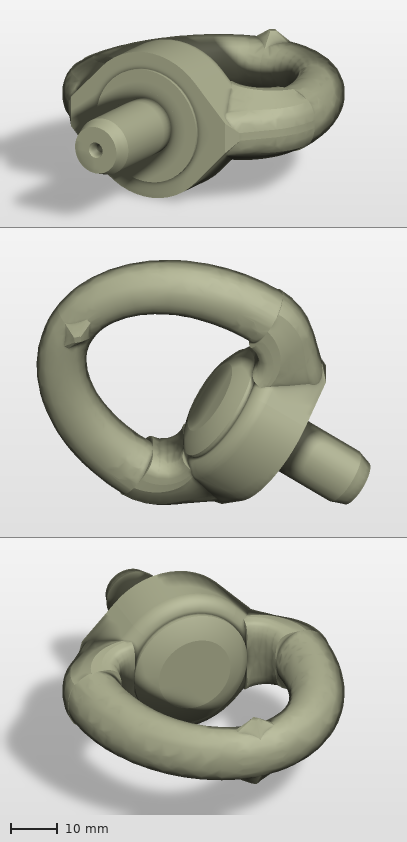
import cadquery as cq
import math


HUB_RADIUS = 32.4 / 2
HUB_HEIGHT = 13.5
HUB_EDGE_RADIUS = 3.1
HUB_TANGENT_X = 11.7
HUB_TANGENT_Z = math.sqrt(HUB_RADIUS**2 - HUB_TANGENT_X**2)
HUB_HALF_WIDTH = 19.3
HUB_TIP_Z = (HUB_RADIUS**2 - HUB_TANGENT_X * HUB_HALF_WIDTH) / HUB_TANGENT_Z

RING_HALF_WIDTH = 30.1
CROWN_Y = 56.7
CROWN_WIDTH = 10.3
CROWN_HALF_THICKNESS = 5.8
BOW_HALF_THICKNESS = 7.0
BOW_SECTIONS = 7

BEND_X = 12.9
BEND_Y = 19.1
BEND_INNER_RADIUS = 4.9
BEND_OUTER_RADIUS = RING_HALF_WIDTH - BEND_X
STRAIGHT_ANGLE = 41.0
LEG_ANGLES = range(0, 91, 10)
LEG_FLARE = 1.65
RIM_HALF_WIDTH = 0.9
SHOULDER_Z = 4.9
SHOULDER_INSET = 1.5
SHOULDER_INSET_GROWTH = 3.3
CREST_START = 4.3
CREST_LENGTH = 2.7
CREST_SHIFT = 2.0
CREST_SHORTENING = 2.3

FOOT_HEIGHT = 2.5
FOOT_RUN = 2.1
FOOT_DEPTH = 3.1

MARK_TIP_Z = 7.85
MARK_TIP_SIZE = 0.95
MARK_BASE_Z = 3.9
MARK_HALF_LENGTH = 7.05
MARK_HALF_WIDTH = 3.7
MARK_SIDE_FACET = 0.13

HEAD_RADIUS = 26.0 / 2
HEAD_RIM_HEIGHT = 1.1
HEAD_DOME_HEIGHT = 2.2
HEAD_TOP_RADIUS = 8.2
DOME_BULGE = 0.3
SHANK_RADIUS = 15.6 / 2
STUD_RADIUS = 12.5 / 2
STUD_TIP_RADIUS = 10.35 / 2
STUD_TAPER_LENGTH = 3.2
TOTAL_LENGTH = 78.4
STUD_END_Y = CROWN_Y - TOTAL_LENGTH
CENTRE_MOUTH_RADIUS = 1.7
CENTRE_BORE_RADIUS = 1.6 / 2
CENTRE_CONE_DEPTH = 1.65
CENTRE_DEPTH = 3.9

WASHER_RADIUS = 25.0 / 2
WASHER_THICKNESS = 0.8


def cylinder(radius, bottom_y, top_y):
    """Round bar on the bolt axis."""
    start = cq.Vector(0, bottom_y, 0)
    return cq.Workplane(cq.Solid.makeCylinder(radius, top_y - bottom_y, start, cq.Vector(0, 1, 0)))


def loft(wires, ruled=False):
    return cq.Workplane(cq.Solid.makeLoft(wires, ruled))


def make_hub():
    """Cylinder with flats on both sides that leave it tangentially and end at flat tips."""
    wings = (
        cq.Workplane("XZ")
        .polyline([
            (HUB_TANGENT_X, HUB_TANGENT_Z),
            (HUB_HALF_WIDTH, HUB_TIP_Z),
            (HUB_HALF_WIDTH, -HUB_TIP_Z),
            (HUB_TANGENT_X, -HUB_TANGENT_Z),
            (-HUB_TANGENT_X, -HUB_TANGENT_Z),
            (-HUB_HALF_WIDTH, -HUB_TIP_Z),
            (-HUB_HALF_WIDTH, HUB_TIP_Z),
            (-HUB_TANGENT_X, HUB_TANGENT_Z),
        ])
        .close()
        .extrude(-HUB_HEIGHT)
    )
    hub = cylinder(HUB_RADIUS, 0, HUB_HEIGHT).union(wings)
    return hub.faces(">Y").edges().fillet(HUB_EDGE_RADIUS)


def bow_section(angle):
    """Elliptical section of the bow; its ends lie on an outer and an inner quarter ellipse."""
    cosine = math.cos(angle)
    sine = math.sin(angle)
    inner_half_width = BEND_X + BEND_INNER_RADIUS
    inner_height = CROWN_Y - CROWN_WIDTH - BEND_Y
    outer = cq.Vector(RING_HALF_WIDTH * cosine, BEND_Y + (CROWN_Y - BEND_Y) * sine, 0)
    inner = cq.Vector(inner_half_width * cosine, BEND_Y + inner_height * sine, 0)
    across = outer - inner
    half_thickness = BOW_HALF_THICKNESS + (CROWN_HALF_THICKNESS - BOW_HALF_THICKNESS) * sine
    plane = cq.Plane(
        origin=((outer + inner) * 0.5).toTuple(),
        xDir=across.toTuple(),
        normal=across.cross(cq.Vector(0, 0, 1)).toTuple(),
    )
    return cq.Workplane(plane).ellipse(across.Length / 2, half_thickness).wire().val()


def make_half_bow():
    quarter_turn = math.pi / 2
    return loft([bow_section(quarter_turn * i / (BOW_SECTIONS - 1)) for i in range(BOW_SECTIONS)])


def leg_section(angle):
    """Section of a leg: round inside, flat crest, sloping flanks, rounded outside with a flat rim."""
    turn = math.radians(angle)
    straight_turn = math.radians(max(0, angle - STRAIGHT_ANGLE))
    growth = angle / 90
    inner = BEND_INNER_RADIUS
    outer = BEND_OUTER_RADIUS / math.cos(straight_turn)
    crest_z = BOW_HALF_THICKNESS + LEG_FLARE * growth
    crest_start = inner + CREST_START - CREST_SHIFT * growth
    crest_end = crest_start + CREST_LENGTH - CREST_SHORTENING * growth
    shoulder = outer - SHOULDER_INSET - SHOULDER_INSET_GROWTH * growth**2
    inset = outer - shoulder
    rise = SHOULDER_Z - RIM_HALF_WIDTH
    rounding_radius = (inset**2 + rise**2) / (2 * inset)
    half_sweep = math.atan2(inset, rise)
    rounding_r = outer - rounding_radius * (1 - math.cos(half_sweep))
    rounding_z = RIM_HALF_WIDTH + rounding_radius * math.sin(half_sweep)
    plane = cq.Plane(
        origin=(BEND_X, BEND_Y, 0),
        xDir=(math.cos(turn), -math.sin(turn), 0),
        normal=(-math.sin(turn), -math.cos(turn), 0),
    )
    return (
        cq.Workplane(plane)
        .moveTo(outer, -RIM_HALF_WIDTH)
        .lineTo(outer, RIM_HALF_WIDTH)
        .threePointArc((rounding_r, rounding_z), (shoulder, SHOULDER_Z))
        .lineTo(crest_end, crest_z)
        .lineTo(crest_start, crest_z)
        .spline(
            [(inner, 0), (crest_start, -crest_z)],
            tangents=[(-1, 0), (0, -1), (1, 0)],
            includeCurrent=True,
        )
        .lineTo(crest_end, -crest_z)
        .lineTo(shoulder, -SHOULDER_Z)
        .threePointArc((rounding_r, -rounding_z), (outer, -RIM_HALF_WIDTH))
        .wire()
        .val()
    )


def make_leg():
    leg = loft([leg_section(angle) for angle in LEG_ANGLES])
    below_hub = cylinder(RING_HALF_WIDTH, -HUB_HEIGHT, 0)
    return leg.cut(below_hub)


def make_foot():
    """Wedge under the outer end of a leg, narrowing outward from the hub tip to the rim."""
    inner_x = HUB_HALF_WIDTH - FOOT_DEPTH
    outer_x = HUB_HALF_WIDTH + FOOT_RUN
    side = (
        cq.Workplane("XY")
        .polyline([(inner_x, 0), (HUB_HALF_WIDTH, 0), (outer_x, FOOT_HEIGHT), (inner_x, FOOT_HEIGHT)])
        .close()
        .extrude(HUB_TIP_Z, both=True)
    )
    plan = (
        cq.Workplane("XZ")
        .polyline([
            (inner_x, HUB_TIP_Z),
            (HUB_HALF_WIDTH, HUB_TIP_Z),
            (outer_x, RIM_HALF_WIDTH),
            (outer_x, -RIM_HALF_WIDTH),
            (HUB_HALF_WIDTH, -HUB_TIP_Z),
            (inner_x, -HUB_TIP_Z),
        ])
        .close()
        .extrude(-FOOT_HEIGHT)
    )
    return side.intersect(plan)


def make_mark():
    """Pyramid with a blunt tip that stands on one face of the crown."""
    def diamond(half_length, half_width, z):
        facet = half_length * MARK_SIDE_FACET
        corners = [
            (half_length, facet),
            (0, half_width),
            (-half_length, facet),
            (-half_length, -facet),
            (0, -half_width),
            (half_length, -facet),
        ]
        plane = cq.Plane(origin=(0, CROWN_Y - CROWN_WIDTH / 2, z))
        return cq.Workplane(plane).polyline(corners).close().wire().val()

    base = diamond(MARK_HALF_LENGTH, MARK_HALF_WIDTH, MARK_BASE_Z)
    tip = diamond(MARK_TIP_SIZE, MARK_TIP_SIZE, MARK_TIP_Z)
    return loft([base, tip], ruled=True)


def make_eye():
    half_ring = make_half_bow().union(make_leg()).union(make_foot())
    mark = make_mark()
    eye = make_hub().union(half_ring).union(half_ring.mirror("YZ"))
    eye = eye.union(mark).union(mark.mirror("XY"))
    head_space = cylinder(HEAD_RADIUS, HUB_HEIGHT, HUB_HEIGHT + HEAD_RIM_HEIGHT + HEAD_DOME_HEIGHT)
    return eye.cut(head_space).cut(cylinder(SHANK_RADIUS, 0, HUB_HEIGHT))


def make_bolt():
    """Domed head, shank through the hub and the washer, and a stud with a centre hole."""
    rim_y = HUB_HEIGHT + HEAD_RIM_HEIGHT
    top_y = rim_y + HEAD_DOME_HEIGHT
    dome_middle = ((HEAD_RADIUS + HEAD_TOP_RADIUS) / 2, (rim_y + top_y) / 2 + DOME_BULGE)
    return (
        cq.Workplane("XY")
        .moveTo(0, top_y)
        .lineTo(HEAD_TOP_RADIUS, top_y)
        .threePointArc(dome_middle, (HEAD_RADIUS, rim_y))
        .lineTo(HEAD_RADIUS, HUB_HEIGHT)
        .lineTo(SHANK_RADIUS, HUB_HEIGHT)
        .lineTo(SHANK_RADIUS, -WASHER_THICKNESS)
        .lineTo(STUD_RADIUS, -WASHER_THICKNESS)
        .lineTo(STUD_RADIUS, STUD_END_Y + STUD_TAPER_LENGTH)
        .lineTo(STUD_TIP_RADIUS, STUD_END_Y)
        .lineTo(CENTRE_MOUTH_RADIUS, STUD_END_Y)
        .lineTo(CENTRE_BORE_RADIUS, STUD_END_Y + CENTRE_CONE_DEPTH)
        .lineTo(CENTRE_BORE_RADIUS, STUD_END_Y + CENTRE_DEPTH)
        .lineTo(0, STUD_END_Y + CENTRE_DEPTH)
        .close()
        .revolve(360, (0, 0, 0), (0, 1, 0))
    )


def make_washer():
    disc = cylinder(WASHER_RADIUS, -WASHER_THICKNESS, 0)
    return disc.cut(cylinder(SHANK_RADIUS, -WASHER_THICKNESS, 0))


eye = make_eye()
bolt = make_bolt()
washer = make_washer()
result = cq.Compound.makeCompound([eye.val(), bolt.val(), washer.val()])